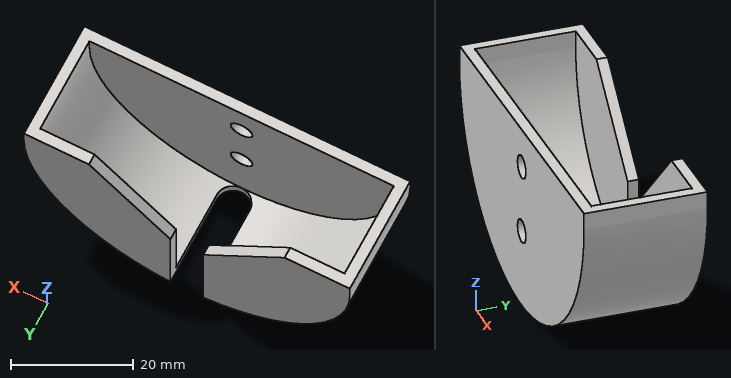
import cadquery as cq

OUTER_RADIUS = 30.0
RIM_HEIGHT = 3.0
DEPTH = 21.5
WALL = 2.0

HOLE_DIAMETER = 4.0
HOLE_HEIGHTS = (-4.0, -16.0)

SLOT_WIDTH = 6.0
MOUTH_WIDTH = 36.0
MOUTH_DEPTH = (MOUTH_WIDTH - SLOT_WIDTH) / 2

BACK_WALL_Y = DEPTH - WALL


def half_round(radius, y_start, y_end):
    """Half disc with a straight-sided top, spanning y_start to y_end."""
    return (
        cq.Workplane("XZ", origin=(0, y_start, 0))
        .moveTo(-radius, RIM_HEIGHT)
        .lineTo(-radius, 0)
        .threePointArc((0, -radius), (radius, 0))
        .lineTo(radius, RIM_HEIGHT)
        .close()
        .extrude(y_start - y_end)
    )


def screw_holes():
    """Cylinders through the front wall."""
    return (
        cq.Workplane("XZ")
        .pushPoints([(0, z) for z in HOLE_HEIGHTS])
        .circle(HOLE_DIAMETER / 2)
        .extrude(-WALL)
    )


def slot():
    """Vertical slot, rounded where it meets the front wall and open at the back."""
    half_width = SLOT_WIDTH / 2
    round_centre_y = WALL + half_width
    return (
        cq.Workplane("XY", origin=(0, 0, -OUTER_RADIUS))
        .moveTo(-half_width, DEPTH)
        .lineTo(-half_width, round_centre_y)
        .threePointArc((0, WALL), (half_width, round_centre_y))
        .lineTo(half_width, DEPTH)
        .close()
        .extrude(OUTER_RADIUS + RIM_HEIGHT)
    )


def slot_mouth():
    """Tapered opening in the back wall, narrowing from the rim to the slot."""
    mouth_bottom = RIM_HEIGHT - MOUTH_DEPTH
    return (
        cq.Workplane("XZ", origin=(0, BACK_WALL_Y, 0))
        .moveTo(-MOUTH_WIDTH / 2, RIM_HEIGHT)
        .lineTo(-SLOT_WIDTH / 2, mouth_bottom)
        .lineTo(SLOT_WIDTH / 2, mouth_bottom)
        .lineTo(MOUTH_WIDTH / 2, RIM_HEIGHT)
        .close()
        .extrude(-WALL)
    )


body = half_round(OUTER_RADIUS, 0, DEPTH)
cavity = half_round(OUTER_RADIUS - WALL, WALL, BACK_WALL_Y)

result = body.cut(cavity).cut(screw_holes()).cut(slot()).cut(slot_mouth())